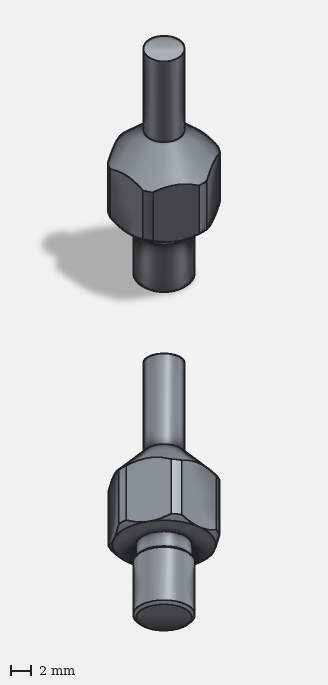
import cadquery as cq
import math

total_height = 28.0
pin_length = 10.0
shank_length = 8.0

pin_diameter = 4.0
body_diameter = 11.0
across_flats = 10.0
shank_diameter = 6.0
neck_diameter = 5.43

end_chamfer = 0.3
neck_length = 1.6
neck_taper = 0.28

pin_radius = pin_diameter / 2
body_radius = body_diameter / 2
shank_radius = shank_diameter / 2
neck_radius = neck_diameter / 2
hex_base_radius = across_flats / 2
hex_chamfer = body_radius - hex_base_radius

cone_top = total_height - pin_length
cone_bottom = cone_top - (body_radius - pin_radius)
neck_bottom = shank_length - neck_length

turned_body = (
    cq.Workplane("XZ")
    .polyline([
        (0, 0),
        (shank_radius - end_chamfer, 0),
        (shank_radius, end_chamfer),
        (shank_radius, neck_bottom - neck_taper),
        (neck_radius, neck_bottom),
        (neck_radius, shank_length),
        (hex_base_radius, shank_length),
        (body_radius, shank_length + hex_chamfer),
        (body_radius, cone_bottom),
        (pin_radius, cone_top),
        (pin_radius, total_height),
        (0, total_height),
    ])
    .close()
    .revolve(360, (0, 0, 0), (0, 1, 0))
)

across_corners = across_flats / math.cos(math.pi / 6)
hex_prism = cq.Workplane("XY").polygon(6, across_corners).extrude(total_height)

result = turned_body.intersect(hex_prism)